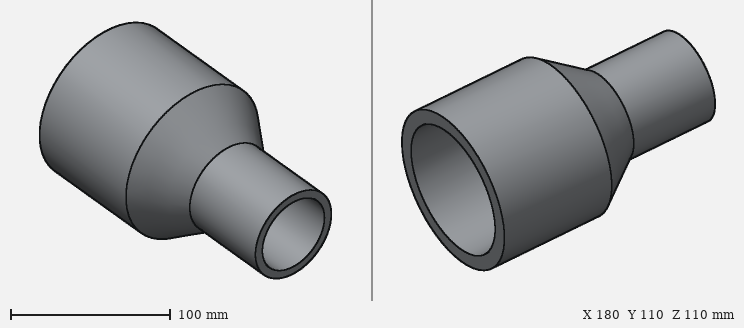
import cadquery as cq

total_length = 180.0
wide_length = 83.0
narrow_length = 63.0
wide_diameter = 110.0
wide_bore = 90.0
narrow_diameter = 63.0
narrow_bore = 51.5

wide_end = -total_length / 2
cone_start = wide_end + wide_length
narrow_end = total_length / 2
cone_end = narrow_end - narrow_length


def stepped_cone(wide, narrow):
    """Solid of a wide cylinder, a cone and a narrow cylinder on the X axis."""
    return (
        cq.Workplane("XY")
        .moveTo(wide_end, 0)
        .lineTo(wide_end, wide / 2)
        .lineTo(cone_start, wide / 2)
        .lineTo(cone_end, narrow / 2)
        .lineTo(narrow_end, narrow / 2)
        .lineTo(narrow_end, 0)
        .close()
        .revolve(360, (0, 0, 0), (1, 0, 0))
    )


outer_body = stepped_cone(wide_diameter, narrow_diameter)
bore = stepped_cone(wide_bore, narrow_bore)
result = outer_body.cut(bore)